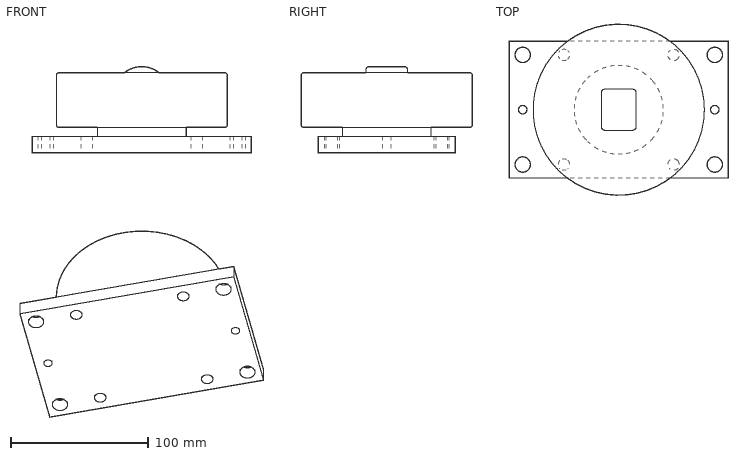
import cadquery as cq

plate_length = 160.0
plate_width = 100.0
plate_thickness = 12.0

corner_hole_diameter = 11.0
side_hole_diameter = 6.0
inner_hole_diameter = 8.3
hole_x = 70.0
hole_y = 40.0
inner_hole_x = 40.0

neck_diameter = 65.0
neck_height = 6.5
housing_diameter = 125.0
housing_height = 40.0
housing_fillet = 2.0

total_height = 63.0
roller_radius = 20.0
roller_width = 30.4
roller_fillet = 2.2

housing_bottom = plate_thickness + neck_height


def make_plate():
    """Rectangular plate resting on Z = 0, with all its through holes."""
    corner_points = [(x, y) for x in (-hole_x, hole_x) for y in (-hole_y, hole_y)]
    inner_points = [(x, y) for x in (-inner_hole_x, inner_hole_x) for y in (-hole_y, hole_y)]
    side_points = [(-hole_x, 0), (hole_x, 0)]
    plate = cq.Workplane("XY").box(
        plate_length, plate_width, plate_thickness, centered=(True, True, False)
    )
    for points, diameter in (
        (corner_points, corner_hole_diameter),
        (inner_points, inner_hole_diameter),
        (side_points, side_hole_diameter),
    ):
        plate = plate.faces(">Z").workplane(origin=(0, 0, 0)).pushPoints(points).hole(diameter)
    return plate


def make_neck():
    """Short cylinder between the plate and the housing."""
    return cq.Workplane("XY", origin=(0, 0, plate_thickness)).circle(neck_diameter / 2).extrude(neck_height)


def make_housing():
    """Round drum with both rims rounded."""
    drum = cq.Workplane("XY", origin=(0, 0, housing_bottom)).circle(housing_diameter / 2)
    return drum.extrude(housing_height).edges().fillet(housing_fillet)


def make_roller():
    """Roller along Y with rounded rims, mostly sunk in the housing."""
    roller_axis_z = total_height - roller_radius
    roller = cq.Workplane("XZ", origin=(0, 0, roller_axis_z)).circle(roller_radius)
    return roller.extrude(roller_width / 2, both=True).edges("%CIRCLE").fillet(roller_fillet)


result = make_plate().union(make_neck()).union(make_housing()).union(make_roller())